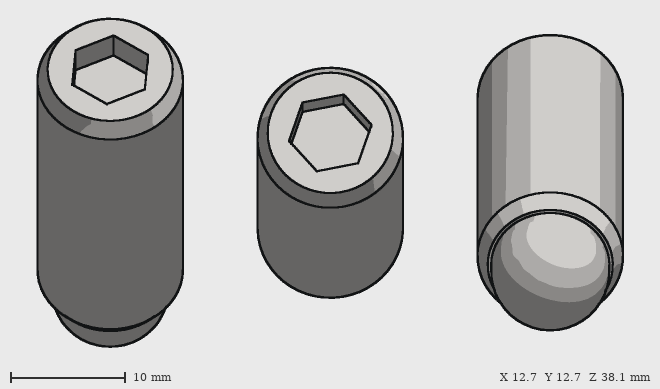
import cadquery as cq
import math

overall_length = 38.1
body_diameter = 12.7
body_length = 31.75
chamfer_height = 1.55
chamfer_angle = 30.0

tip_diameter = 10.3

socket_across_flats = 6.35
socket_depth = 3.0
hexagon_sides = 6

body_radius = body_diameter / 2
end_face_radius = body_radius - chamfer_height * math.tan(math.radians(chamfer_angle))
body_bottom = overall_length - body_length
tip_radius = tip_diameter / 2
socket_across_corners = socket_across_flats / math.cos(math.pi / hexagon_sides)


def make_body_and_tip():
    """Revolve the half profile: hemispherical nose, neck and chamfered body."""
    arc_middle = tip_radius * math.sqrt(0.5)
    profile = (
        cq.Workplane("XZ")
        .moveTo(0, 0)
        .threePointArc((arc_middle, tip_radius - arc_middle), (tip_radius, tip_radius))
        .lineTo(tip_radius, body_bottom)
        .lineTo(end_face_radius, body_bottom)
        .lineTo(body_radius, body_bottom + chamfer_height)
        .lineTo(body_radius, overall_length - chamfer_height)
        .lineTo(end_face_radius, overall_length)
        .lineTo(0, overall_length)
        .close()
    )
    return profile.revolve(360, (0, 0, 0), (0, 1, 0))


def make_hex_socket():
    """Hexagonal prism with two of its corners on the X axis."""
    return (
        cq.Workplane("XY")
        .workplane(offset=overall_length - socket_depth)
        .polygon(hexagon_sides, socket_across_corners)
        .extrude(socket_depth)
    )


result = make_body_and_tip().cut(make_hex_socket())